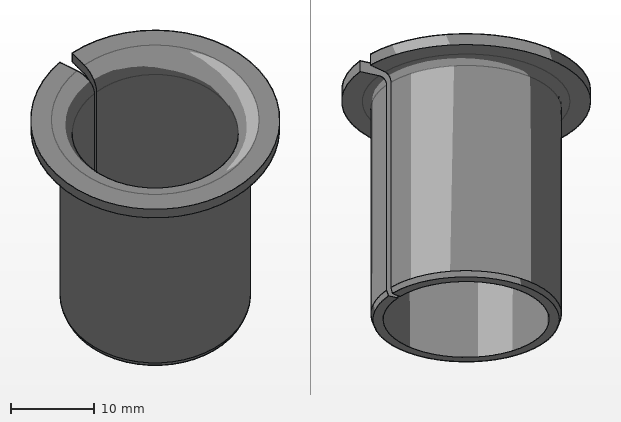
import cadquery as cq
import math

height = 31.0
flange_diameter = 30.0
bore_diameter = 20.0
wall = 1.5
inner_bend_radius = 2.5
chamfer_height = 0.7
chamfer_angle = 20.0
split_bore_gap = 0.37
split_half_angle = 10.0

flange_radius = flange_diameter / 2
bore_radius = bore_diameter / 2
body_radius = bore_radius + wall
bend_center_radius = bore_radius + inner_bend_radius
bend_center_z = height - inner_bend_radius
outer_bend_radius = inner_bend_radius - wall
chamfer_width = chamfer_height * math.tan(math.radians(chamfer_angle))
diagonal = math.sqrt(0.5)


def bend_midpoint(radius):
    """Point halfway round a bend that turns the wall out into the flange."""
    return (bend_center_radius - radius * diagonal, bend_center_z + radius * diagonal)


def make_sleeve():
    """Revolve the constant-thickness wall, with its bend and flange, about Z, with the seam at -X."""
    return (
        cq.Workplane("XZ")
        .moveTo(bore_radius, 0)
        .lineTo(body_radius - chamfer_width, 0)
        .lineTo(body_radius, chamfer_height)
        .lineTo(body_radius, bend_center_z)
        .threePointArc(bend_midpoint(outer_bend_radius), (bend_center_radius, height - wall))
        .lineTo(flange_radius, height - wall)
        .lineTo(flange_radius, height)
        .lineTo(bend_center_radius, height)
        .threePointArc(bend_midpoint(inner_bend_radius), (bore_radius, bend_center_z))
        .close()
        .revolve(360, (0, 0, 0), (0, 1, 0))
        .rotate((0, 0, 0), (0, 0, 1), 180)
    )


def make_split():
    """Full-height wedge through the -X wall, narrow at the bore and wide at the rim."""
    outer_x = flange_radius + wall
    split_slope = math.tan(math.radians(split_half_angle))
    tip_x = bore_radius - split_bore_gap / 2 / split_slope
    outer_half_width = (outer_x - tip_x) * split_slope
    return (
        cq.Workplane("XY")
        .moveTo(-tip_x, 0)
        .lineTo(-outer_x, outer_half_width)
        .lineTo(-outer_x, -outer_half_width)
        .close()
        .extrude(height)
    )


result = make_sleeve().cut(make_split())